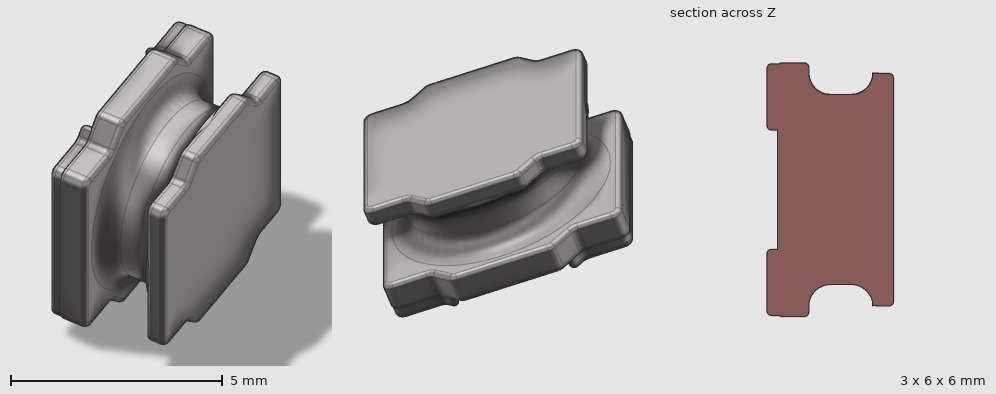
import cadquery as cq


total_length = 3.0
pad_height = 0.25
plate_thickness = 0.75
flange_thickness = 0.5
plate_front = pad_height
plate_back = plate_front + plate_thickness
flange_front = total_length - flange_thickness

core_diameter = 4.5
core_radius = core_diameter / 2
core_flare = 0.5

plate_half_size = 3.0
plate_step = 0.55
plate_shoulder = 1.25

flange_half_size = 2.75
flange_step = 0.5
flange_shoulder = 1.15

pad_inset = 0.025
pad_inner_y = 1.40
pad_corner_radius = 0.1

corner_radius = 0.25
edge_radius = 0.125

rim_sink = edge_radius
pad_sink = edge_radius


def stepped_slab(x_start, thickness, half_size, step, shoulder):
    """Slab with a raised middle band, 45 degree shoulders and rounded outline corners."""
    low = half_size - step
    foot = shoulder + step
    quarter = [(shoulder, half_size), (foot, low), (half_size, low)]
    upper = quarter + [(y, -z) for y, z in reversed(quarter)]
    outline = upper + [(-y, -z) for y, z in upper]
    return (
        cq.Workplane("YZ", origin=(x_start, 0, 0))
        .polyline(outline)
        .close()
        .extrude(thickness)
        .edges("|X")
        .fillet(corner_radius)
    )


def round_both_faces(slab):
    """Round the rims of the two faces normal to X."""
    return slab.faces("<X or >X").edges().fillet(edge_radius)


def winding_core():
    """Cylinder that flares out in quarter circles, with short rims sunk into both end slabs."""
    rim_radius = core_radius + core_flare
    rim_start = plate_back - rim_sink
    rim_end = flange_front + rim_sink
    return (
        cq.Workplane("XY")
        .moveTo(rim_start, 0)
        .lineTo(rim_start, rim_radius)
        .lineTo(plate_back, rim_radius)
        .radiusArc((plate_back + core_flare, core_radius), -core_flare)
        .lineTo(flange_front - core_flare, core_radius)
        .radiusArc((flange_front, rim_radius), -core_flare)
        .lineTo(rim_end, rim_radius)
        .lineTo(rim_end, 0)
        .close()
        .revolve(360, (0, 0, 0), (1, 0, 0))
    )


def terminal_pad(plate_blank, side):
    """Pad on the -X face of the plate, following its outline, at +Y (side=1) or -Y (side=-1)."""
    pad_root = plate_front + pad_sink
    inset_outline = plate_blank.faces("<X").wires().val().offset2D(-pad_inset)[0]
    footprint = cq.Workplane(cq.Solid.extrudeLinear(inset_outline, [], cq.Vector(-pad_root, 0, 0)))
    footprint = footprint.translate((pad_sink, 0, 0))

    region_width = plate_half_size
    region_center_y = side * (pad_inner_y + region_width / 2)
    pad_region = (
        cq.Workplane("XY")
        .box(2 * total_length, region_width, 2 * plate_half_size)
        .translate((0, region_center_y, 0))
    )
    pad = footprint.intersect(pad_region)

    inner_face = "<Y" if side > 0 else ">Y"
    pad = pad.faces(inner_face).edges("|X").fillet(pad_corner_radius)
    return pad.faces("<X").edges().fillet(edge_radius)


plate_blank = stepped_slab(plate_front, plate_thickness, plate_half_size, plate_step, plate_shoulder)
flange_blank = stepped_slab(
    flange_front, flange_thickness, flange_half_size, flange_step, flange_shoulder
)

result = round_both_faces(plate_blank).union(winding_core()).union(round_both_faces(flange_blank))
for side in (1, -1):
    result = result.union(terminal_pad(plate_blank, side))